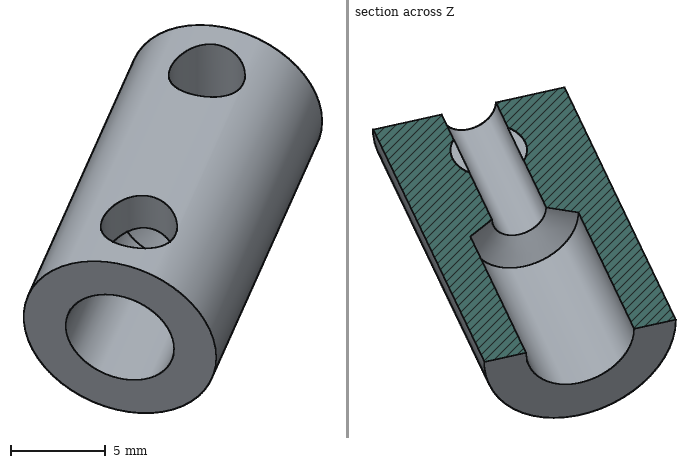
import cadquery as cq
import math

outer_diameter = 10.67
length = 19.05

large_bore_diameter = 6.0
small_bore_diameter = 3.0
large_bore_depth = length / 2
drill_point_angle = 118.0

screw_hole_diameter = 4.04
screw_hole_end_distance = 3.425

front_y = -length / 2
back_y = length / 2


def bore_cutter():
    """Solid of revolution about Y: large bore, conical drill point, small bore."""
    large_radius = large_bore_diameter / 2
    small_radius = small_bore_diameter / 2
    step_height = large_radius - small_radius
    cone_length = step_height / math.tan(math.radians(drill_point_angle / 2))
    cone_start_y = front_y + large_bore_depth
    return (
        cq.Workplane("XY")
        .moveTo(0, front_y)
        .lineTo(large_radius, front_y)
        .lineTo(large_radius, cone_start_y)
        .lineTo(small_radius, cone_start_y + cone_length)
        .lineTo(small_radius, back_y)
        .lineTo(0, back_y)
        .close()
        .revolve(360, (0, 0, 0), (0, 1, 0))
    )


def screw_hole_cutter(y):
    """Radial hole from the bore axis out through the +Z side."""
    return (
        cq.Workplane("XY")
        .center(0, y)
        .circle(screw_hole_diameter / 2)
        .extrude(outer_diameter / 2)
    )


sleeve = (
    cq.Workplane("XZ")
    .circle(outer_diameter / 2)
    .extrude(length / 2, both=True)
)

result = sleeve.cut(bore_cutter())
for hole_y in (front_y + screw_hole_end_distance, back_y - screw_hole_end_distance):
    result = result.cut(screw_hole_cutter(hole_y))